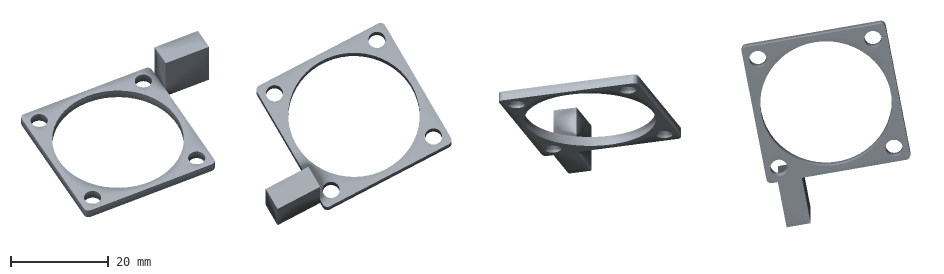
import cadquery as cq

frame_side = 30.0
frame_thickness = 2.0
corner_radius = 1.0
opening_diameter = 27.0

mount_hole_diameter = 3.5
mount_hole_spacing = 24.0

block_width = 5.0
block_length = 10.0
block_height = 10.0
block_inset = 2.2


def make_frame():
    """Rounded square plate with a large opening and four corner holes."""
    plate = (
        cq.Workplane("XY")
        .rect(frame_side, frame_side)
        .extrude(frame_thickness)
        .edges("|Z")
        .fillet(corner_radius)
    )
    return (
        plate.faces(">Z")
        .workplane()
        .hole(opening_diameter)
        .faces(">Z")
        .workplane()
        .rect(mount_hole_spacing, mount_hole_spacing, forConstruction=True)
        .vertices()
        .hole(mount_hole_diameter)
    )


def make_block():
    """Plain block whose front face meets the back edge of the frame."""
    left = -frame_side / 2 + block_inset
    back_edge = frame_side / 2
    return (
        cq.Workplane("XY")
        .box(block_width, block_length, block_height, centered=False)
        .translate((left, back_edge, 0))
    )


result = make_frame().union(make_block())